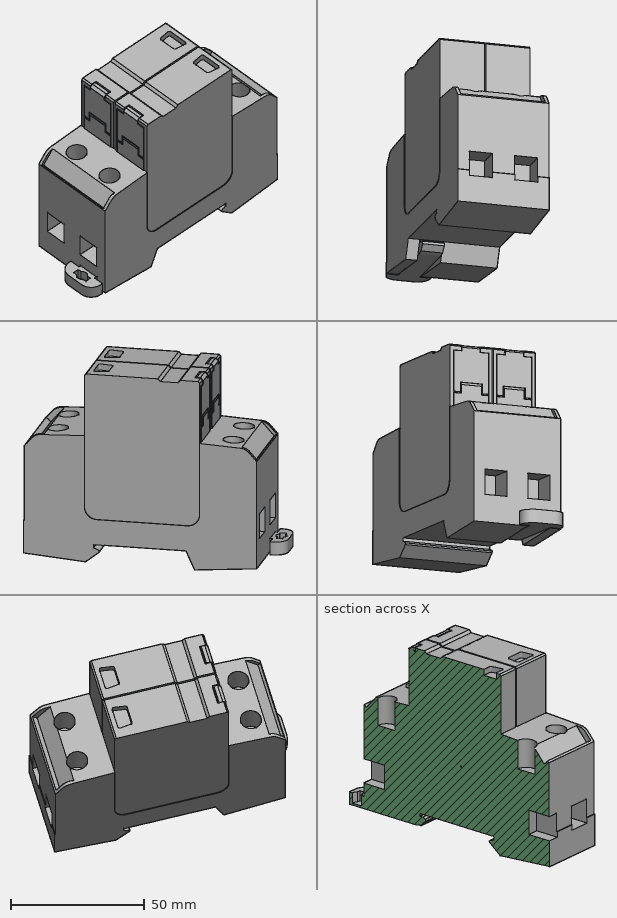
import cadquery as cq


width = 36.0
half_width = width / 2
depth = 90.0
height = 74.24
pole_pitch = 17.8
pole_x = pole_pitch / 2
rear_step = 0.3
rear_step_z = 14.9
upper_depth = depth - rear_step
wall_bottom_z = 2.1
front_foot_rear = 27.3
rail_z = 7.25
shoulder_z = 50.0
shoulder_edge_z = 49.13
slope_run = 4.3
slope_foot_z = 44.4
slope_round = 4.5

cartridge_front = 22.05
cartridge_rear = 66.5
side_recess = 0.3
cartridge_gap = 0.6
cartridge_bottom_z = 17.2
cartridge_bottom_round = 4.8
top_chamfer = 0.65
grip_front = 29.5
grip_rear = 38.2
grip_depth = 1.0

window_front = 58.3
window_rear = 64.0
window_front_width = 8.0
window_rear_width = 9.6
window_round = 0.8
window_depth = 2.4

cover_width = 14.5
cover_top_z = 71.9
cover_sink = 0.5
cover_thickness = 0.3
cover_front = cartridge_front - cover_thickness
joint_step_width = 9.06
joint_step_z = 59.8
joint_z = 56.1
joint_gap = 0.5
joint_side_gap = 0.33
joint_slope = 0.9

tab_pocket_width = 7.85
tab_pocket_rear = 24.95
tab_pocket_depth = 1.5
tab_rear = 24.4
tab_side_gap = 0.3
tab_overlap = 0.2
tab_top_z = height - 0.1
tab_slope_run = 1.25
tab_slope_drop = 0.95

screw_diameter = 7.9
screw_front_y = 11.0
screw_rear_y = 78.7
screw_floor_z = 38.0
wire_width = 9.0
wire_bottom_z = 12.7
wire_height = 9.7
wire_depth = 10.0

label_width = 33.3
front_label = [(0.3, 44.73), (1.2, 43.9), (7.0, 50.3)]
rear_label = [(0.6, 45.06), (2.4, 43.4), (8.2, 50.05)]

channel_width = 9.2
latch_width = 8.5
latch_neck = 0.9
handle_length = 6.06
handle_width = 17.1
handle_round = 5.1
handle_slot_width = 6.6
handle_slot_length = 2.4
handle_hole_diameter = 4.2
handle_hole_y = -3.35
handle_floor = 1.0


def box(x0, x1, y0, y1, z0, z1):
    """Axis-aligned block between the given limits."""
    return cq.Workplane("XY").box(x1 - x0, y1 - y0, z1 - z0, centered=False).translate((x0, y0, z0))


def side_prism(points, x0, x1):
    """Extrude a (Y, Z) outline along X from x0 to x1."""
    return cq.Workplane("YZ").workplane(offset=x0).polyline(points).close().extrude(x1 - x0)


def front_prism(points, y0, y1):
    """Extrude an (X, Z) outline along Y from y0 to y1."""
    return cq.Workplane("XZ").workplane(offset=-y1).polyline(points).close().extrude(y1 - y0)


def mirrored_pair(solid):
    """The solid together with its mirror image in the mid plane."""
    return solid.union(solid.mirror("YZ"))


def make_base():
    rear_slope_y = upper_depth - slope_run
    outline = [
        (0, wall_bottom_z),
        (0, slope_foot_z),
        (slope_run, shoulder_edge_z),
        (cartridge_front, shoulder_z),
        (cartridge_rear, shoulder_z),
        (rear_slope_y, shoulder_edge_z),
        (upper_depth, slope_foot_z),
        (upper_depth, rear_step_z),
        (depth, rear_step_z),
        (depth, wall_bottom_z),
        (66.0, 0.25),
        (60.9, 4.3),
        (60.6, 4.9),
        (61.3, 5.4),
        (63.0, 6.0),
        (63.0, rail_z),
        (front_foot_rear, rail_z),
        (24.0, 0),
    ]
    base = side_prism(outline, -half_width, half_width)
    for y in (slope_run, rear_slope_y):
        corner = cq.selectors.BoxSelector(
            (-half_width, y - 1, shoulder_edge_z - 1),
            (half_width, y + 1, shoulder_edge_z + 1),
        )
        base = base.edges(corner).fillet(slope_round)
    return base


def cartridge_block(x0, x1, top_cut):
    """Cartridge-shaped block: rounded at the bottom, chamfered at the top if top_cut is not 0."""
    block = box(x0, x1, cartridge_front, cartridge_rear, cartridge_bottom_z, height)
    block = block.edges("|X and <Z").fillet(cartridge_bottom_round)
    if top_cut:
        block = block.edges("|X and >Z").chamfer(top_cut)
    return block


def cut_cartridge_seats(base):
    """Sink both side walls of the base to the level of the cartridge sides."""
    seat = cartridge_block(half_width - side_recess, half_width, 0)
    return base.cut(mirrored_pair(seat))


def window_cutter():
    centre_x = half_width / 2
    return (
        cq.Workplane("XY").workplane(offset=height - window_depth)
        .polyline([
            (centre_x - window_front_width / 2, window_front),
            (centre_x + window_front_width / 2, window_front),
            (centre_x + window_rear_width / 2, window_rear),
            (centre_x - window_rear_width / 2, window_rear),
        ]).close().extrude(window_depth)
        .edges("|Z").fillet(window_round)
    )


def make_cover():
    """Raised front cover, split by a stepped joint into a label plate and a lower plate."""
    left = pole_x - cover_width / 2
    right = pole_x + cover_width / 2
    cover = box(left, right, cover_front, cartridge_front, shoulder_z - cover_sink, cover_top_z)

    outer_left = pole_x - joint_step_width / 2
    outer_right = pole_x + joint_step_width / 2
    inner_left = outer_left + joint_side_gap
    inner_right = outer_right - joint_side_gap
    low_z = joint_z - joint_gap
    inner_z = joint_step_z - joint_slope
    joint = front_prism([
        (left, joint_z),
        (outer_left, joint_z),
        (outer_left, joint_step_z),
        (outer_right, joint_step_z),
        (outer_right, joint_z),
        (right, joint_z),
        (right, low_z),
        (inner_right, low_z),
        (inner_right, inner_z),
        (inner_left, inner_z),
        (inner_left, low_z),
        (left, low_z),
    ], cover_front, cartridge_front)
    bevel = side_prism([
        (cover_front, inner_z),
        (cartridge_front, inner_z),
        (cartridge_front, joint_step_z),
    ], inner_left, inner_right)
    return cover.cut(joint).union(bevel)


def make_tab(pocket_left, pocket_right):
    """Clip tab rising from the cover, with a sloped upper front edge."""
    tab_foot_z = cover_top_z - tab_overlap
    profile = [
        (cover_front, tab_foot_z),
        (cover_front, tab_top_z - tab_slope_drop),
        (cover_front + tab_slope_run, tab_top_z),
        (tab_rear, tab_top_z),
        (tab_rear, tab_foot_z),
    ]
    return side_prism(profile, pocket_left + tab_side_gap, pocket_right)


def make_cartridge():
    """The +X cartridge, complete with window, grip groove and cover."""
    x0 = cartridge_gap / 2
    x1 = half_width - side_recess
    cartridge = cartridge_block(x0, x1, top_chamfer)
    grip = side_prism([
        (grip_front, height),
        (grip_front + grip_depth, height - grip_depth),
        (grip_rear - grip_depth, height - grip_depth),
        (grip_rear, height),
    ], x0, x1)
    pocket_left = pole_x - tab_pocket_width / 2
    pocket_right = pole_x + tab_pocket_width / 2
    pocket = box(pocket_left, pocket_right, cover_front, tab_pocket_rear, height - tab_pocket_depth, height)
    cartridge = cartridge.cut(grip).cut(window_cutter()).cut(pocket)
    return cartridge.union(make_cover()).union(make_tab(pocket_left, pocket_right))


def label_cutter(points):
    """Pocket square to a sloped end, given its wall foot, its corner and the top of its floor."""
    foot, corner, top = points
    return side_prism([foot, corner, top, (foot[0], top[1])], -label_width / 2, label_width / 2)


def cut_labels(base):
    front = label_cutter(front_label)
    rear = label_cutter([(upper_depth - inset, z) for inset, z in rear_label])
    return base.cut(front).cut(rear)


def cut_terminals(base):
    """Screw wells from above and wire entries from both ends, at each pole."""
    for x in (-pole_x, pole_x):
        for y in (screw_front_y, screw_rear_y):
            well = cq.Workplane("XY", origin=(x, y, screw_floor_z)).circle(screw_diameter / 2)
            base = base.cut(well.extrude(height))
        for y in (0, depth - wire_depth):
            entry = box(
                x - wire_width / 2, x + wire_width / 2,
                y, y + wire_depth,
                wire_bottom_z, wire_bottom_z + wire_height,
            )
            base = base.cut(entry)
    return base


def cut_latch_channel(base):
    channel = box(
        pole_x - channel_width / 2, pole_x + channel_width / 2,
        0, front_foot_rear,
        0, rail_z,
    )
    return base.cut(channel)


def make_latch():
    """Sliding rail latch: hooked bar under the base and a pull handle in front."""
    bar = side_prism([
        (-latch_neck, wall_bottom_z),
        (-latch_neck, rail_z),
        (front_foot_rear, rail_z),
        (front_foot_rear, 6.35),
        (28.8, 6.35),
        (29.9, 5.75),
        (29.9, 4.75),
        (27.7, 2.6),
        (25.1, wall_bottom_z),
    ], pole_x - latch_width / 2, pole_x + latch_width / 2)

    handle = box(
        pole_x - handle_width / 2, pole_x + handle_width / 2,
        -latch_neck - handle_length, -latch_neck,
        wall_bottom_z, rail_z,
    ).edges("|Z and <Y").fillet(handle_round)
    eye_floor_z = wall_bottom_z + handle_floor
    eye_depth = rail_z - eye_floor_z
    eye = cq.Workplane("XY", origin=(pole_x, handle_hole_y, eye_floor_z))
    slot = eye.rect(handle_slot_width, handle_slot_length).extrude(eye_depth)
    hole = eye.circle(handle_hole_diameter / 2).extrude(eye_depth)
    return bar.union(handle.cut(slot).cut(hole))


base = cut_cartridge_seats(make_base())
base = cut_latch_channel(cut_terminals(cut_labels(base)))
result = base.union(mirrored_pair(make_cartridge())).union(make_latch())